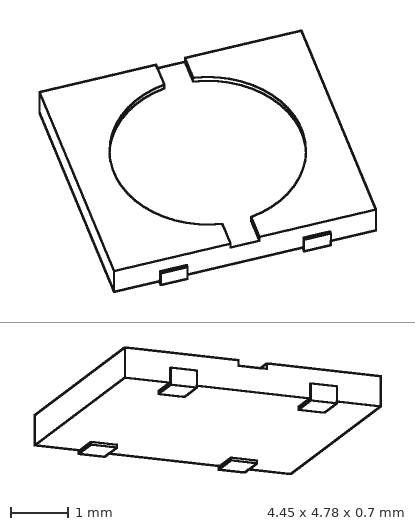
import cadquery as cq

overall_width = 4.45
overall_height = 0.7

body_width = 4.35
body_length = 4.78
body_top = 0.6
terminal_thickness = (overall_width - body_width) / 2

recess_radius = 1.71
recess_depth = 0.1
channel_width = 0.525
recess_floor = body_top - recess_depth

dome_radius = 1.577

terminal_height = 0.31
terminal_reach = 0.6
terminal_width = 0.488
terminal_spacing = 2.615


def make_body():
    """Rectangular plate, raised by the thickness of the terminals."""
    return (
        cq.Workplane("XY")
        .workplane(offset=terminal_thickness)
        .rect(body_width, body_length)
        .extrude(body_top - terminal_thickness)
    )


def make_recess():
    """Cutter for the round recess and the channel across the body width."""
    floor = cq.Workplane("XY").workplane(offset=recess_floor)
    channel = floor.rect(body_width, channel_width).extrude(recess_depth)
    return floor.circle(recess_radius).extrude(recess_depth).union(channel)


def make_dome():
    """Spherical cap from the recess floor up to the overall height."""
    rise = overall_height - recess_floor
    sphere_radius = (dome_radius**2 + rise**2) / (2 * rise)
    sphere = cq.Workplane("XY").sphere(sphere_radius)
    sphere = sphere.translate((0, 0, overall_height - sphere_radius))
    cap_space = (
        cq.Workplane("XY")
        .workplane(offset=recess_floor)
        .circle(recess_radius)
        .extrude(rise)
    )
    return sphere.intersect(cap_space)


def make_terminal(side, y_center):
    """Terminal on the side of the body given by side (-1 or +1 along X)."""
    outer = side * overall_width / 2
    wall = side * body_width / 2
    foot_end = outer - side * terminal_reach
    return (
        cq.Workplane("XZ", origin=(0, y_center, 0))
        .moveTo(outer, 0)
        .lineTo(outer, terminal_height)
        .lineTo(wall, terminal_height)
        .lineTo(wall, terminal_thickness)
        .lineTo(foot_end, terminal_thickness)
        .lineTo(foot_end, 0)
        .close()
        .extrude(terminal_width / 2, both=True)
    )


result = make_body().cut(make_recess()).union(make_dome())
for side in (-1, 1):
    for y_center in (-terminal_spacing / 2, terminal_spacing / 2):
        result = result.union(make_terminal(side, y_center))